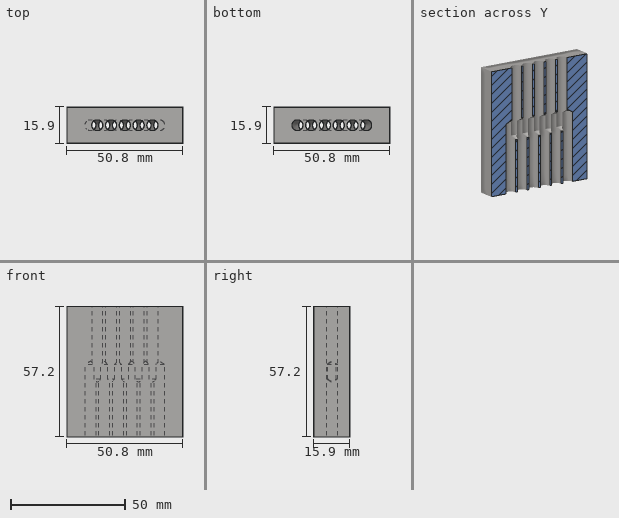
import cadquery as cq
import math

INCH = 25.4
LENGTH = 2.0 * INCH
THICKNESS = 0.625 * INCH
HEIGHT = 2.25 * INCH

HOLE_DIAMETER = 0.1875 * INCH
HOLE_RADIUS = HOLE_DIAMETER / 2
HOLE_WALL = 0.05 * INCH
HOLE_PITCH = HOLE_DIAMETER + HOLE_WALL
TOP_HOLE_COUNT = 5
BOTTOM_HOLE_COUNT = TOP_HOLE_COUNT + 1
END_OVERLAP = 0.25 * INCH
HOLE_DEPTH = (HEIGHT + END_OVERLAP) / 2
DRILL_POINT_ANGLE = 118.0
DRILL_POINT_LENGTH = HOLE_RADIUS / math.tan(math.radians(DRILL_POINT_ANGLE / 2))


def drilled_hole():
    """Cutter with its mouth at Z = 0 and its conical drill point downwards."""
    return (
        cq.Workplane("XZ")
        .lineTo(HOLE_RADIUS, 0)
        .lineTo(HOLE_RADIUS, -HOLE_DEPTH)
        .lineTo(0, -HOLE_DEPTH - DRILL_POINT_LENGTH)
        .close()
        .revolve(360, (0, 0, 0), (0, 1, 0))
    )


def cut_hole_row(body, cutter, count, mouth_z):
    """Cut a row of holes along X, centred on the block."""
    for index in range(count):
        x = (index - (count - 1) / 2) * HOLE_PITCH
        body = body.cut(cutter.translate((x, 0, mouth_z)))
    return body


top_cutter = drilled_hole()
bottom_cutter = top_cutter.rotate((0, 0, 0), (1, 0, 0), 180)

block = cq.Workplane("XY").box(LENGTH, THICKNESS, HEIGHT)
block = cut_hole_row(block, top_cutter, TOP_HOLE_COUNT, HEIGHT / 2)
result = cut_hole_row(block, bottom_cutter, BOTTOM_HOLE_COUNT, -HEIGHT / 2)